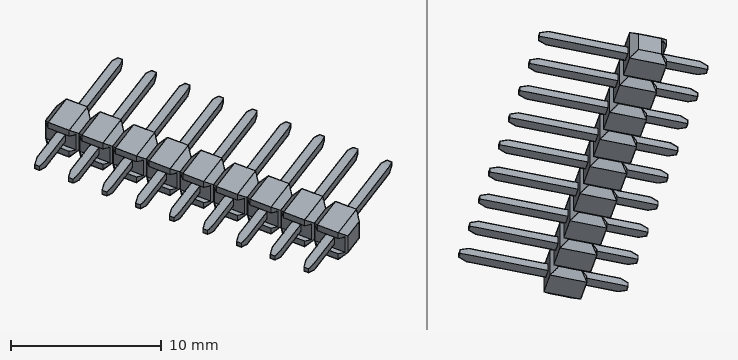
import cadquery as cq

pin_count = 9
row_length = 22.85
pitch = row_length / pin_count

body_depth = 2.54
body_height = 2.5
end_chamfer = 0.48
groove_height = 1.42
groove_depth = 0.35

pin_width = 0.65
tip_width = 0.37
tip_length = 0.55
total_depth = 11.55
front_reach = 3.0

body_front = -body_depth / 2
pin_front = body_front - front_reach
pin_back = pin_front + total_depth


def housing():
    """Block with chamfered end faces and a groove along its front (-Y) face."""
    block = cq.Workplane("XY").box(pitch, body_depth, body_height)
    block = block.faces("<X or >X").edges().chamfer(end_chamfer)
    groove = cq.Workplane("XY").box(pitch, 2 * groove_depth, groove_height)
    return block.cut(groove.translate((0, body_front, 0)))


def tapered_tip(shaft_end, tip_end):
    """Frustum narrowing along Y from the shaft to the tip of the pin."""
    shaft_plane = cq.Plane(origin=(0, shaft_end, 0), xDir=(1, 0, 0), normal=(0, tip_end - shaft_end, 0))
    return (
        cq.Workplane(shaft_plane)
        .rect(pin_width, pin_width)
        .workplane(offset=tip_length)
        .rect(tip_width, tip_width)
        .loft(combine=True)
    )


def pin():
    """Square shaft with a tapered tip at each end."""
    shaft_front = pin_front + tip_length
    shaft_back = pin_back - tip_length
    shaft = cq.Workplane("XY").box(pin_width, shaft_back - shaft_front, pin_width)
    shaft = shaft.translate((0, (shaft_front + shaft_back) / 2, 0))
    return shaft.union(tapered_tip(shaft_front, pin_front)).union(tapered_tip(shaft_back, pin_back))


unit = housing().union(pin())
first_x = -(row_length - pitch) / 2
result = unit.translate((first_x, 0, 0))
for index in range(1, pin_count):
    result = result.union(unit.translate((first_x + index * pitch, 0, 0)))